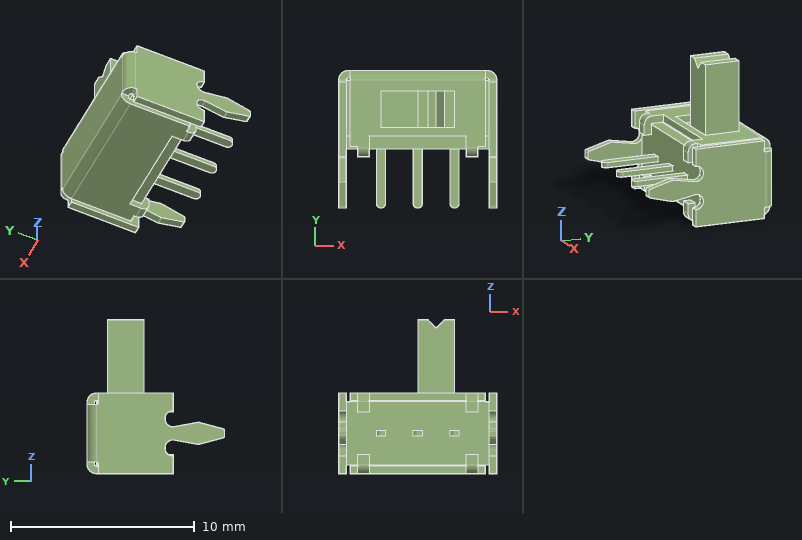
import cadquery as cq
import math


shell_width = 8.61
shell_height = 4.40
shell_depth = 4.70
sheet = 0.42
bend_inner_radius = 0.11
bend_outer_radius = bend_inner_radius + sheet
relief_gap = 0.10
corner_relief = bend_outer_radius + relief_gap

half_width = shell_width / 2
half_height = shell_height / 2
cover_half_width = half_width - corner_relief
strip_half_height = half_height - corner_relief

cover_depth = 4.13
tab_width = 0.65
tab_center_x = 2.95
tab_drop = 1.04
tab_bend_radius = 0.47
notch_width = 2 * tab_center_x - tab_width
notch_y = -3.557

selection_margin = 0.01

tang_tip_y = -7.49
tang_wide_y = -6.07
tang_half_width = 0.61
tang_tip_half_width = 0.23
tang_tip_radius = 0.12
tang_shoulder_radius = 0.10
scallop_radius = 0.43
scallop_center_y = -4.68
scallop_center_z = 0.795

cover_gap = tab_bend_radius - sheet
block_width = shell_width - 2 * sheet
block_height = shell_height - 2 * (sheet + cover_gap)
handle_size = 2.0
handle_rise = 3.98
handle_center_y = -2.11
vee_depth = 0.45
opening_length = 2 * handle_size
handle_center_x = (opening_length - handle_size) / 2
handle_top = half_height + handle_rise

board_front_y = sheet - shell_depth
pin_width = 0.51
pin_thickness = 0.30
pin_pitch = 2.0
pin_tip_y = tang_tip_y
pin_count = 3


def slab(x_range, y_range, z_range):
    """Box between two limits along each axis."""
    lows = [min(limits) for limits in (x_range, y_range, z_range)]
    sizes = [max(limits) - min(limits) for limits in (x_range, y_range, z_range)]
    return cq.Workplane("XY").box(*sizes, centered=False).translate(tuple(lows))


def centered_slab(x_size, y_range, z_size):
    """Box centred on X and Z."""
    return slab((-x_size / 2, x_size / 2), y_range, (-z_size / 2, z_size / 2))


def side_strip():
    """Back wall with its left and right edges bent forward into the side plates."""
    height = 2 * strip_half_height
    outer = centered_slab(shell_width, (-corner_relief, 0), height)
    outer = outer.edges("|Z and >Y").fillet(bend_outer_radius)
    hollow = centered_slab(block_width, (-corner_relief, -sheet), height)
    hollow = hollow.edges("|Z and >Y").fillet(bend_inner_radius)
    return outer.cut(hollow)


def cover_channel():
    """Back wall with its upper and lower edges bent forward into the two covers."""
    width = 2 * cover_half_width
    outer = centered_slab(width, (-cover_depth, 0), shell_height)
    outer = outer.edges("|X and >Y").fillet(bend_outer_radius)
    hollow = centered_slab(width, (-cover_depth, -sheet), shell_height - 2 * sheet)
    hollow = hollow.edges("|X and >Y").fillet(bend_inner_radius)
    front_notch = centered_slab(notch_width, (-cover_depth, notch_y), shell_height)
    return outer.cut(hollow).cut(front_notch)


def cover_tab(center_x):
    """Tab that runs on from the top cover and folds down over the board."""
    x_range = (center_x - tab_width / 2, center_x + tab_width / 2)
    outer = slab(x_range, (-shell_depth, notch_y), (half_height - tab_drop, half_height))
    outer = outer.edges("|X and <Y and >Z").fillet(tab_bend_radius)
    hollow = slab(x_range, (board_front_y, notch_y), (half_height - tab_drop, half_height - sheet))
    hollow = hollow.edges("|X and <Y and >Z").fillet(tab_bend_radius - sheet)
    return outer.cut(hollow)


def scallop_tangent_point():
    """Point (y, z) where the tang's upper flank leaves the scallop circle tangentially."""
    to_flank_y = tang_wide_y - scallop_center_y
    to_flank_z = tang_half_width - scallop_center_z
    distance = math.hypot(to_flank_y, to_flank_z)
    angle = math.atan2(to_flank_z, to_flank_y) + math.acos(scallop_radius / distance)
    return (
        scallop_center_y + scallop_radius * math.cos(angle),
        scallop_center_z + scallop_radius * math.sin(angle),
    )


def side_plate(inner_x):
    """Side plate with a tapered mounting tang; inner_x is its lower X limit."""
    flank_y, flank_z = scallop_tangent_point()
    front_y = -shell_depth
    scallop_back_y = scallop_center_y + scallop_radius
    scallop_outer_z = scallop_center_z + scallop_radius
    plate = (
        cq.Workplane("YZ", origin=(inner_x, 0, 0))
        .moveTo(-corner_relief, half_height)
        .lineTo(front_y, half_height)
        .lineTo(front_y, scallop_outer_z)
        .lineTo(scallop_center_y, scallop_outer_z)
        .threePointArc((scallop_back_y, scallop_center_z), (flank_y, flank_z))
        .lineTo(tang_wide_y, tang_half_width)
        .lineTo(tang_tip_y, tang_tip_half_width)
        .lineTo(tang_tip_y, -tang_tip_half_width)
        .lineTo(tang_wide_y, -tang_half_width)
        .lineTo(flank_y, -flank_z)
        .threePointArc((scallop_back_y, -scallop_center_z), (scallop_center_y, -scallop_outer_z))
        .lineTo(front_y, -scallop_outer_z)
        .lineTo(front_y, -half_height)
        .lineTo(-corner_relief, -half_height)
        .close()
        .extrude(sheet)
    )
    plate = plate.edges("|X and <Y").fillet(tang_tip_radius)
    shoulder = cq.selectors.BoxSelector(
        (inner_x - selection_margin, tang_wide_y - selection_margin, -half_height),
        (inner_x + sheet + selection_margin, tang_wide_y + selection_margin, half_height),
    )
    return plate.edges("|X").edges(shoulder).fillet(tang_shoulder_radius)


def make_shell():
    shell = side_strip().union(cover_channel())
    for inner_x in (-half_width, half_width - sheet):
        shell = shell.union(side_plate(inner_x))
    corners = cq.selectors.BoxSelector(
        (-shell_width, -corner_relief - selection_margin, -strip_half_height - selection_margin),
        (shell_width, -corner_relief + selection_margin, strip_half_height + selection_margin),
    )
    shell = shell.edges("|X").edges(corners).fillet(relief_gap)
    for center_x in (-tab_center_x, tab_center_x):
        tab = cover_tab(center_x)
        shell = shell.union(tab).union(tab.mirror("XY"))
    opening = slab(
        (-opening_length / 2, opening_length / 2),
        (handle_center_y - handle_size / 2, handle_center_y + handle_size / 2),
        (0, half_height),
    )
    return shell.cut(opening)


def make_slider():
    """Block filling the shell behind the board, with the notched handle on top."""
    block = centered_slab(block_width, (notch_y, -bend_outer_radius), block_height)
    handle = slab(
        (handle_center_x - handle_size / 2, handle_center_x + handle_size / 2),
        (handle_center_y - handle_size / 2, handle_center_y + handle_size / 2),
        (0, handle_top),
    )
    vee = (
        cq.Workplane("XZ", origin=(handle_center_x, handle_center_y, handle_top))
        .moveTo(-vee_depth, 0)
        .lineTo(vee_depth, 0)
        .lineTo(0, -vee_depth)
        .close()
        .extrude(handle_size / 2, both=True)
    )
    return block.union(handle).cut(vee)


def make_pin(center_x):
    """Flat terminal with a full-round tip, running through the board."""
    half_pin = pin_width / 2
    round_start_y = pin_tip_y + half_pin
    return (
        cq.Workplane("XY")
        .moveTo(center_x - half_pin, notch_y)
        .lineTo(center_x - half_pin, round_start_y)
        .threePointArc((center_x, pin_tip_y), (center_x + half_pin, round_start_y))
        .lineTo(center_x + half_pin, notch_y)
        .close()
        .extrude(pin_thickness / 2, both=True)
    )


def make_board(pins):
    """Terminal board with a matching hole for each pin."""
    board = centered_slab(block_width, (board_front_y, notch_y), block_height)
    for pin in pins:
        board = board.cut(pin)
    return board


pins = [make_pin((index - (pin_count - 1) / 2) * pin_pitch) for index in range(pin_count)]
shell = make_shell()
slider = make_slider()
board = make_board(pins)

result = cq.Compound.makeCompound(
    [shell.val(), slider.val(), board.val(), *[pin.val() for pin in pins]]
)